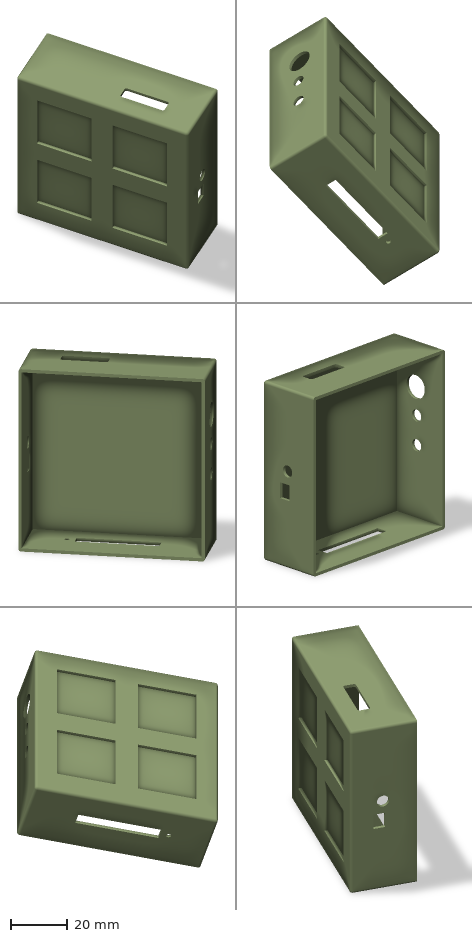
import cadquery as cq

WIDTH = 67.4
DEPTH = 25.0
HEIGHT = 68.2
WALL = 1.2
FRONT_WALL = 2 * WALL
EDGE_RADIUS = 1.0

RECESS_SIDE = 21.5
RECESS_PITCH = 29.7
RECESS_GRID_Z = 0.4
RECESS_DEPTH = WALL

TOP_SLOT_LENGTH = 17.3
TOP_SLOT_WIDTH = 4.7
TOP_SLOT_X = 12.3
TOP_SLOT_Y = -3.1
TOP_SLOT_CORNER_RADIUS = 0.8

BOTTOM_WINDOW_LENGTH = 30.6
BOTTOM_WINDOW_WIDTH = 4.3
BOTTOM_HOLE_DIAMETER = 1.8
BOTTOM_HOLE_X = 18.45
BOTTOM_CUTOUT_Y = -0.8

LARGE_HOLE_DIAMETER = 9.0
LARGE_HOLE_CENTER = (-0.8, 16.7)
SMALL_HOLE_DIAMETER = 4.5
SMALL_HOLE_Y = -0.3
SMALL_HOLE_HEIGHTS = (5.95, -5.35)

RIGHT_HOLE_Z = 2.7
RIGHT_WINDOW_BACK_Y = 0.55
RIGHT_WINDOW_WIDTH = 4.5
RIGHT_WINDOW_HEIGHT = 6.0
RIGHT_WINDOW_Z = SMALL_HOLE_HEIGHTS[1]

CUT_REACH = 2 * WALL

LEFT_WALL_X = -(WIDTH - WALL) / 2
RIGHT_WALL_X = (WIDTH - WALL) / 2
TOP_WALL_Z = (HEIGHT - WALL) / 2
BOTTOM_WALL_Z = -(HEIGHT - WALL) / 2


def make_shell():
    """Box with every edge rounded except those around the open back."""
    body = cq.Workplane("XY").box(WIDTH, DEPTH, HEIGHT)
    body = body.edges("not >Y").fillet(EDGE_RADIUS)
    cavity = cq.Workplane("XY").box(WIDTH - 2 * WALL, DEPTH, HEIGHT - 2 * WALL)
    return body.cut(cavity.translate((0, FRONT_WALL, 0)))


def make_front_recesses():
    """Four square blocks that sink into the front face."""
    return (
        cq.Workplane("XZ", origin=(0, -DEPTH / 2, RECESS_GRID_Z))
        .rarray(RECESS_PITCH, RECESS_PITCH, 2, 2)
        .rect(RECESS_SIDE, RECESS_SIDE)
        .extrude(-RECESS_DEPTH)
    )


def make_round_cutter(plane, center, diameter):
    """Cylinder through a wall, normal to the plane and centred in the wall."""
    return (
        cq.Workplane(plane, origin=center)
        .circle(diameter / 2)
        .extrude(CUT_REACH, both=True)
    )


def make_top_slot():
    slot = cq.Workplane("XY").box(TOP_SLOT_LENGTH, TOP_SLOT_WIDTH, 2 * CUT_REACH)
    slot = slot.edges("|Z").fillet(TOP_SLOT_CORNER_RADIUS)
    return slot.translate((TOP_SLOT_X, TOP_SLOT_Y, TOP_WALL_Z))


def make_bottom_cutouts():
    window = cq.Workplane("XY").box(BOTTOM_WINDOW_LENGTH, BOTTOM_WINDOW_WIDTH, 2 * CUT_REACH)
    window = window.translate((0, BOTTOM_CUTOUT_Y, BOTTOM_WALL_Z))
    hole_center = (BOTTOM_HOLE_X, BOTTOM_CUTOUT_Y, BOTTOM_WALL_Z)
    return window.union(make_round_cutter("XY", hole_center, BOTTOM_HOLE_DIAMETER))


def make_left_holes():
    holes = make_round_cutter("YZ", (LEFT_WALL_X, *LARGE_HOLE_CENTER), LARGE_HOLE_DIAMETER)
    for z in SMALL_HOLE_HEIGHTS:
        small_hole = make_round_cutter("YZ", (LEFT_WALL_X, SMALL_HOLE_Y, z), SMALL_HOLE_DIAMETER)
        holes = holes.union(small_hole)
    return holes


def make_right_cutouts():
    window_y = RIGHT_WINDOW_BACK_Y - RIGHT_WINDOW_WIDTH / 2
    window = cq.Workplane("XY").box(2 * CUT_REACH, RIGHT_WINDOW_WIDTH, RIGHT_WINDOW_HEIGHT)
    window = window.translate((RIGHT_WALL_X, window_y, RIGHT_WINDOW_Z))
    hole_center = (RIGHT_WALL_X, SMALL_HOLE_Y, RIGHT_HOLE_Z)
    return window.union(make_round_cutter("YZ", hole_center, SMALL_HOLE_DIAMETER))


result = (
    make_shell()
    .cut(make_front_recesses())
    .cut(make_top_slot())
    .cut(make_bottom_cutouts())
    .cut(make_left_holes())
    .cut(make_right_cutouts())
)